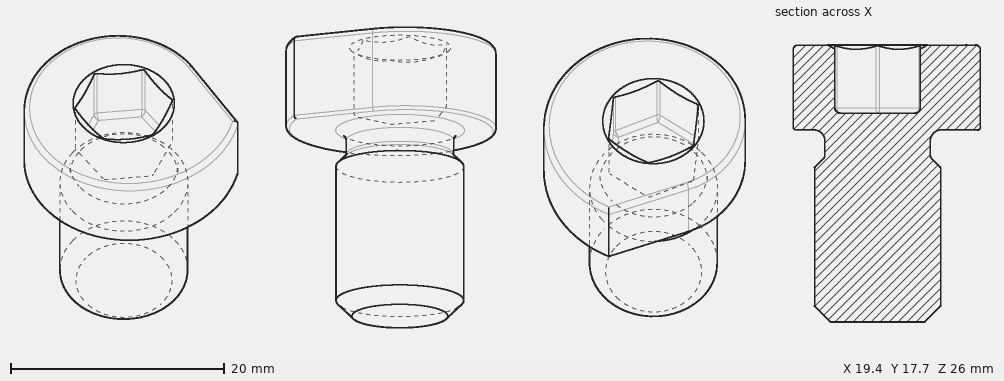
import cadquery as cq
import math

HEAD_HEIGHT = 8.0
SPIRAL_START_RADIUS = 8.0
SPIRAL_RISE_PER_TURN = 3.33
SPIRAL_SPANS = 24
BISECTION_STEPS = 50
HEAD_TOP_ROUND = 0.5
HEAD_BOTTOM_ROUND = 0.3

TOTAL_LENGTH = 26.0
SHANK_RADIUS = 6.0
NECK_RADIUS = 5.05
NECK_LENGTH = 3.5
NECK_TOP_ROUND = 1.0
NECK_BOTTOM_ROUND = 0.5
SHOULDER_ANGLE = math.radians(45.0)
TIP_CHAMFER = 1.5

SOCKET_SIDES = 6
SOCKET_ACROSS_FLATS = 8.0
SOCKET_DEPTH = 6.4
SOCKET_CORNER_ROUND = 0.3
SOCKET_FLOOR_ROUND = 0.5
COUNTERSINK_RADIUS = 4.75
COUNTERSINK_ANGLE = 120.0

HEAD_BOTTOM_Z = TOTAL_LENGTH - HEAD_HEIGHT
RISE_PER_RADIAN = SPIRAL_RISE_PER_TURN / (2 * math.pi)


def spiral_point(turned):
    """Point of the spiral after turning counterclockwise from +Y by `turned` radians."""
    radius = SPIRAL_START_RADIUS + RISE_PER_RADIAN * turned
    return (-radius * math.sin(turned), radius * math.cos(turned))


def flat_y(x):
    """Y of the line that leaves the spiral start tangentially towards +X."""
    return SPIRAL_START_RADIUS - x * RISE_PER_RADIAN / SPIRAL_START_RADIUS


def spiral_end_angle():
    """Angle turned when the spiral reaches the flat again (in its last quarter turn), found by bisection."""
    low = 1.5 * math.pi
    high = 2 * math.pi
    for _ in range(BISECTION_STEPS):
        middle = (low + high) / 2
        x, y = spiral_point(middle)
        if y < flat_y(x):
            low = middle
        else:
            high = middle
    return low


def make_head():
    """Cam-shaped head with rounded top and bottom rims."""
    step = spiral_end_angle() / SPIRAL_SPANS
    spiral = [spiral_point(i * step) for i in range(SPIRAL_SPANS + 1)]
    outline = (
        cq.Workplane("XY", origin=(0, 0, HEAD_BOTTOM_Z))
        .moveTo(*spiral[0])
        .spline(spiral[1:], includeCurrent=True)
        .close()
    )
    head = outline.extrude(HEAD_HEIGHT)
    head = head.faces(">Z").edges().fillet(HEAD_TOP_ROUND)
    return head.faces("<Z").edges().fillet(HEAD_BOTTOM_ROUND)


def make_shank():
    """Turned shank with chamfered tip and relief neck, up to the underside of the head."""
    shoulder_z = HEAD_BOTTOM_Z - NECK_LENGTH
    neck_start_z = shoulder_z + (SHANK_RADIUS - NECK_RADIUS) / math.tan(SHOULDER_ANGLE)
    setback = NECK_BOTTOM_ROUND * math.tan(SHOULDER_ANGLE / 2)
    diagonal = setback * math.cos(SHOULDER_ANGLE)
    return (
        cq.Workplane("XZ")
        .moveTo(0, 0)
        .lineTo(SHANK_RADIUS - TIP_CHAMFER, 0)
        .lineTo(SHANK_RADIUS, TIP_CHAMFER)
        .lineTo(SHANK_RADIUS, shoulder_z)
        .lineTo(NECK_RADIUS + diagonal, neck_start_z - diagonal)
        .tangentArcPoint((NECK_RADIUS, neck_start_z + setback), relative=False)
        .lineTo(NECK_RADIUS, HEAD_BOTTOM_Z - NECK_TOP_ROUND)
        .tangentArcPoint((NECK_RADIUS + NECK_TOP_ROUND, HEAD_BOTTOM_Z), relative=False)
        .lineTo(0, HEAD_BOTTOM_Z)
        .close()
        .revolve(360, (0, 0), (0, 1))
    )


def make_socket():
    """Hexagon socket with rounded corners and floor edge, plus its conical lead-in."""
    hexagon = (
        cq.Workplane("XY", origin=(0, 0, TOTAL_LENGTH - SOCKET_DEPTH))
        .transformed(rotate=(0, 0, 180 / SOCKET_SIDES))
        .polygon(SOCKET_SIDES, SOCKET_ACROSS_FLATS, circumscribed=True)
        .extrude(SOCKET_DEPTH)
        .edges("|Z")
        .fillet(SOCKET_CORNER_ROUND)
        .faces("<Z")
        .edges()
        .fillet(SOCKET_FLOOR_ROUND)
    )
    cone_height = COUNTERSINK_RADIUS / math.tan(math.radians(COUNTERSINK_ANGLE / 2))
    lead_in = cq.Workplane(
        cq.Solid.makeCone(
            0, COUNTERSINK_RADIUS, cone_height, pnt=(0, 0, TOTAL_LENGTH - cone_height)
        )
    )
    return hexagon.union(lead_in)


result = make_head().union(make_shank()).cut(make_socket())